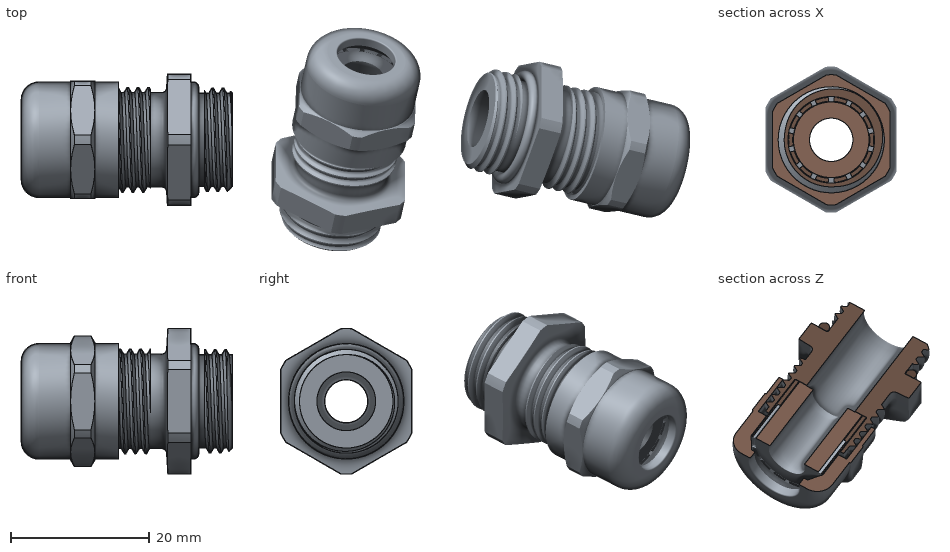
import cadquery as cq
import math

length = 30.54

nut_length = 14.1
nut_diameter = 16.75
nut_face_diameter = 11.5
nut_dome_radius = (nut_diameter - nut_face_diameter) / 2
nut_hex_width = 17.0
nut_hex_corner_diameter = 18.9
nut_hex_start = 7.15
nut_hex_length = 3.5
nut_hex_chamfer_angle = 30.0
mouth_diameter = 8.55
mouth_fillet = 0.2
mouth_lip = 1.4
cage_cone_front_diameter = 9.8
cage_cavity_diameter = 12.5
cage_cavity_end = 7.5

body_front = 8.0
nut_thread_root = 13.69
nut_thread_start = 9.0
nut_thread_end = 18.69
nut_thread_crest_position = 15.785
neck_fillet = 0.7
hex_width = 19.0
hex_corner_diameter = 21.1
hex_front = 21.21
hex_face_rise = 0.18
hex_back = 24.53
end_thread_root = 13.52
end_thread_start = 26.5
end_thread_crest_position = 28.06
insert_bore = 12.45
insert_shelf = 15.0
cable_bore = 8.5

thread_pitch = 1.5
thread_height = 0.75
thread_crest_width = thread_pitch / 8
thread_half_angle = 30.0
thread_embed = 0.1

ring_section = 1.6
ring_offset = 0.36

insert_front = 3.35
seal_diameter = 11.0
seal_bore = 6.2
cage_outer_diameter = 12.38
cage_inner_diameter = 11.11
cage_slot_count = 14
cage_slot_width = 0.7
cage_slot_end = 10.0

running_clearance = 0.05
nut_bore = nut_thread_root + 2 * (thread_height + running_clearance)


def cylinder(diameter, start, end):
    """Cylinder on the X axis."""
    return cq.Workplane("YZ").workplane(offset=start).circle(diameter / 2).extrude(end - start)


def revolve_about_x(outline):
    """Turn a closed outline, drawn as (x, radius), about the X axis."""
    return outline.close().revolve(360, (0, 0, 0), (1, 0, 0))


def hexagon(width, corner_diameter, start, end):
    """Hexagonal prism with corners up and down, rounded off to the corner diameter."""
    across_corners = width / math.cos(math.radians(30))
    prism = (
        cq.Workplane("YZ")
        .workplane(offset=start)
        .transformed(rotate=(0, 0, 90))
        .polygon(6, across_corners)
        .extrude(end - start)
    )
    return prism.intersect(cylinder(corner_diameter, start, end))


def thread(root_diameter, crest_position, start, end, end_chamfer):
    """Right-handed thread ridge with a crest passing (crest_position, +Z), trimmed between start and end."""
    root = root_diameter / 2
    crest = root + thread_height
    flank_slope = math.tan(math.radians(thread_half_angle))
    crest_half = thread_crest_width / 2
    inner_half = crest_half + (thread_height + thread_embed) * flank_slope

    first_on_minus_z = crest_position + thread_pitch / 2
    turns_before = math.ceil((first_on_minus_z - start) / thread_pitch) + 1
    helix_start = first_on_minus_z - turns_before * thread_pitch
    turns = math.ceil((end - helix_start) / thread_pitch) + 1

    helix = cq.Wire.makeHelix(thread_pitch, turns * thread_pitch, root)
    ridge = (
        cq.Workplane("XZ")
        .moveTo(root - thread_embed, -inner_half)
        .lineTo(crest, -crest_half)
        .lineTo(crest, crest_half)
        .lineTo(root - thread_embed, inner_half)
        .close()
        .sweep(cq.Workplane(obj=helix), isFrenet=True)
        .rotate((0, 0, 0), (0, 1, 0), 90)
        .translate((helix_start, 0, 0))
    )

    trim_inner = root - 2 * thread_embed
    trim_outer = crest + thread_height
    trim_slope = trim_outer - root if end_chamfer else 0
    trim = revolve_about_x(
        cq.Workplane("XY")
        .moveTo(start, trim_inner)
        .lineTo(end, trim_inner)
        .lineTo(end, root)
        .lineTo(end - trim_slope, trim_outer)
        .lineTo(start, trim_outer)
    )
    return ridge.intersect(trim)


def make_dome_nut():
    hex_end = nut_hex_start + nut_hex_length
    barrel = cylinder(nut_diameter, 0, nut_length).faces("<X").edges().fillet(nut_dome_radius)

    flat_radius = nut_hex_width / 2
    corner_radius = nut_hex_corner_diameter / 2
    corner_chamfer = (corner_radius - flat_radius) * math.tan(math.radians(nut_hex_chamfer_angle))
    chamfer_shape = revolve_about_x(
        cq.Workplane("XY")
        .moveTo(nut_hex_start, 0)
        .lineTo(nut_hex_start, flat_radius)
        .lineTo(nut_hex_start + corner_chamfer, corner_radius)
        .lineTo(hex_end - corner_chamfer, corner_radius)
        .lineTo(hex_end, flat_radius)
        .lineTo(hex_end, 0)
    )
    grip = hexagon(nut_hex_width, nut_hex_corner_diameter, nut_hex_start, hex_end).intersect(chamfer_shape)

    mouth_radius = mouth_diameter / 2
    cavity = revolve_about_x(
        cq.Workplane("XY")
        .lineTo(0, mouth_radius + mouth_fillet)
        .radiusArc((mouth_fillet, mouth_radius), -mouth_fillet)
        .lineTo(mouth_lip, mouth_radius)
        .lineTo(mouth_lip, cage_cone_front_diameter / 2)
        .lineTo(insert_front, cage_cavity_diameter / 2)
        .lineTo(cage_cavity_end, cage_cavity_diameter / 2)
        .lineTo(cage_cavity_end, nut_bore / 2)
        .lineTo(nut_length, nut_bore / 2)
        .lineTo(nut_length, 0)
    )
    return barrel.union(grip).cut(cavity)


def make_body():
    neck_radius = nut_thread_root / 2
    face_inner_x = hex_front - hex_face_rise
    face_corner_radius = hex_corner_diameter / 2

    turned = revolve_about_x(
        cq.Workplane("XY")
        .moveTo(body_front, 0)
        .lineTo(body_front, neck_radius)
        .lineTo(face_inner_x - neck_fillet, neck_radius)
        .radiusArc((face_inner_x, neck_radius + neck_fillet), -neck_fillet)
        .lineTo(hex_front, face_corner_radius)
        .lineTo(hex_back, face_corner_radius)
        .lineTo(hex_back, end_thread_root / 2)
        .lineTo(length, end_thread_root / 2)
        .lineTo(length, 0)
    )
    body = turned.intersect(hexagon(hex_width, hex_corner_diameter, body_front, length))
    body = body.cut(cylinder(insert_bore, body_front, insert_shelf))
    body = body.cut(cylinder(cable_bore, insert_shelf, length))
    nut_thread = thread(nut_thread_root, nut_thread_crest_position, nut_thread_start, nut_thread_end, False)
    end_thread = thread(end_thread_root, end_thread_crest_position, end_thread_start, length, True)
    return body.union(nut_thread).union(end_thread)


def make_sealing_ring():
    section_radius = ring_section / 2
    center_x = hex_back + ring_offset
    center_radius = end_thread_root / 2 + section_radius
    half_flat = math.sqrt(section_radius**2 - ring_offset**2)
    return revolve_about_x(
        cq.Workplane("XY")
        .moveTo(hex_back, center_radius - half_flat)
        .threePointArc((center_x + section_radius, center_radius), (hex_back, center_radius + half_flat))
    )


def make_seal():
    return cylinder(seal_diameter, insert_front, insert_shelf).cut(
        cylinder(seal_bore, insert_front, insert_shelf)
    )


def make_clamping_cage():
    """Ring whose front half is slotted into fingers."""
    cage = cylinder(cage_outer_diameter, insert_front, insert_shelf).cut(
        cylinder(cage_inner_diameter, insert_front, insert_shelf)
    )
    slot_pitch = 360 / cage_slot_count
    slot = cq.Workplane("XY").box(
        cage_slot_end - insert_front, cage_outer_diameter / 2, cage_slot_width, centered=(False, False, True)
    ).translate((insert_front, 0, 0))
    for index in range(cage_slot_count):
        cage = cage.cut(slot.rotate((0, 0, 0), (1, 0, 0), (index + 0.5) * slot_pitch))
    return cage


dome_nut = make_dome_nut()
body = make_body()
sealing_ring = make_sealing_ring()
seal = make_seal()
clamping_cage = make_clamping_cage()

result = cq.Compound.makeCompound(
    [dome_nut.val(), body.val(), sealing_ring.val(), seal.val(), clamping_cage.val()]
)